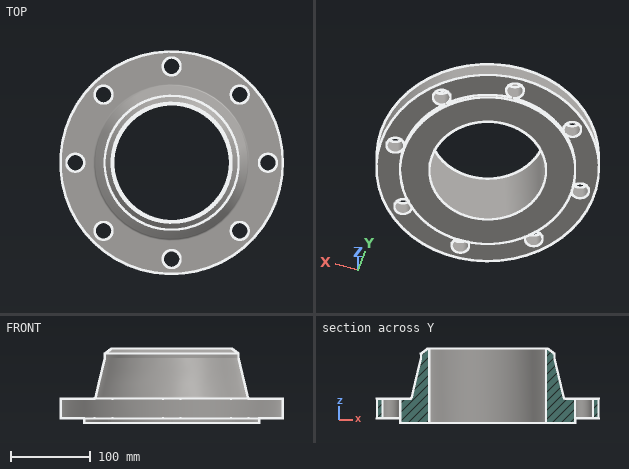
import cadquery as cq
import math

flange_diameter = 279.3
flange_thickness = 24.9

face_diameter = 219.8
face_height = 6.0

neck_base_diameter = 192.2
neck_top_diameter = 168.2
neck_fillet_radius = 2.8
straight_length = 6.0
bevel_height = 6.7
bevel_angle = 37.5
overall_height = 93.9

height_tolerance = 0.3

bore_diameter = 146.5

bolt_count = 8
bolt_circle_diameter = 241.5
bolt_hole_diameter = 22.0

flange_top = face_height + flange_thickness
bevel_bottom = overall_height - bevel_height
cone_top = bevel_bottom - straight_length
end_radius = neck_top_diameter / 2 - bevel_height / math.tan(math.radians(bevel_angle))


def make_body():
    """Raised face, plate and tapered neck revolved as one solid about Z."""
    profile = (
        cq.Workplane("XZ")
        .moveTo(0, 0)
        .lineTo(face_diameter / 2, 0)
        .lineTo(face_diameter / 2, face_height)
        .lineTo(flange_diameter / 2, face_height)
        .lineTo(flange_diameter / 2, flange_top)
        .lineTo(neck_base_diameter / 2, flange_top)
        .lineTo(neck_top_diameter / 2, cone_top)
        .lineTo(neck_top_diameter / 2, bevel_bottom)
        .lineTo(end_radius, overall_height)
        .lineTo(0, overall_height)
        .close()
    )
    return profile.revolve(360, (0, 0, 0), (0, 1, 0))


def round_neck_root(body):
    """Fillet the corner where the neck meets the top of the plate."""
    smallest_circle = cq.selectors.RadiusNthSelector(0)
    reach = flange_diameter
    around_flange_top = cq.selectors.BoxSelector(
        (-reach, -reach, flange_top - height_tolerance),
        (reach, reach, flange_top + height_tolerance),
        boundingbox=True,
    )
    return body.edges(around_flange_top).edges(smallest_circle).fillet(neck_fillet_radius)


def make_bore():
    return cq.Workplane("XY").circle(bore_diameter / 2).extrude(overall_height)


def make_bolt_holes():
    return (
        cq.Workplane("XY")
        .polarArray(bolt_circle_diameter / 2, 0, 360, bolt_count)
        .circle(bolt_hole_diameter / 2)
        .extrude(flange_top)
    )


result = round_neck_root(make_body()).cut(make_bore()).cut(make_bolt_holes())